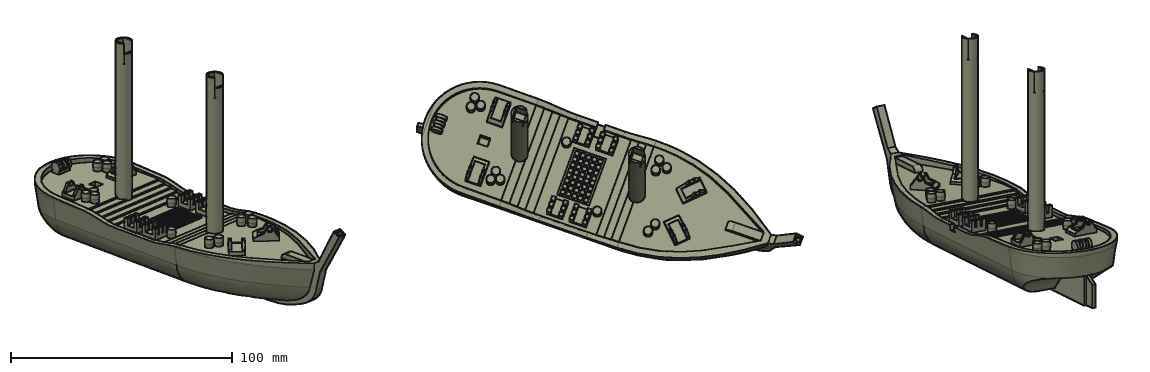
import cadquery as cq
import math


TOP_HALF_BEAM = 26.47
CHINE_HALF_BEAM = 24.9
CHINE_Z = 14.0
BILGE_DEPTH = 12.4
BILGE_START_ANGLE = math.radians(6.0)
BILGE_SECTIONS = 6
STERN_CENTRE_X = 30.0
BOW_START_X = 104.7
BOW_CHINE_X = 165.8
BOW_TOP_X = 168.5
BOW_BILGE_RUN = 26.8
BOW_FULLNESS = 0.775
BOW_CLOSING = 1.3
AFT_TOPSIDE_Z = 24.4
BOW_TOPSIDE_Z = 23.4
STERN_RISE_START_X = 7.0
STERN_RISE_RADIUS = 27.0
HULL_BOTTOM_Z = CHINE_Z - BILGE_DEPTH
BILGE_RADIUS = BILGE_DEPTH / (1 - math.sin(BILGE_START_ANGLE))
BILGE_WIDTH = BILGE_RADIUS * math.cos(BILGE_START_ANGLE)
FLARE = (TOP_HALF_BEAM - CHINE_HALF_BEAM) / (AFT_TOPSIDE_Z - CHINE_Z)
BOW_HALF_BEAM = CHINE_HALF_BEAM + FLARE * (BOW_TOPSIDE_Z - CHINE_Z)

RAIL_WIDTH = 2.95
STERN_RAIL_Z = 26.5
STERN_RAIL_FLAT_X = 4.9
AFT_BREAK_X = 48.3
AFT_BREAK_Z = 24.6
WAIST_AFT_X = 67.2
WAIST_FORE_X = 89.9
WAIST_RAIL_Z = 21.6
FORE_BREAK_Z = 23.6
BOW_RAIL_Z = 26.6
SPARE = 5.0

WAIST_DECK_Z = 20.0
STEP_RISE = 0.8
AFT_STEPS_X = (AFT_BREAK_X, 52.2, 56.1, 59.8, 63.8)
FORE_STEPS_X = (93.8, 97.5, 101.0, BOW_START_X)
AFT_DECK_Z = WAIST_DECK_Z + STEP_RISE * len(AFT_STEPS_X)
FORE_DECK_Z = WAIST_DECK_Z + STEP_RISE * len(FORE_STEPS_X)
INNER_BOW_X = 165.0
INNER_BOW_FULLNESS = 0.765
INNER_BOW_CLOSING = 1.05

KEEL_WIDTH = 4.2
RUDDER_WIDTH = 1.7
RUDDER_LENGTH = 5.1
RUDDER_AFT_Z = 11.1
STEM_FOOT_X = 140.0
SPRIT_TIP_X = 183.77
SPRIT_TIP_Z = 43.9
SPRIT_THICKNESS = 3.8
SPRIT_ANGLE = math.radians(60.0)
SPRIT_SOCKET_SIDE = 2.1
SPRIT_SOCKET_DEPTH = 4.0
SPRIT_FOOT = (172.0, BOW_TOPSIDE_Z)
SPRIT_INNER_FOOT = (171.2, 28.6)
STEM_TURN = (158.5, 3.4)
STEM_CHINE_X = 169.6
STEM_CHINE_LEAN = 0.2
HEEL_X = 148.0
HEEL_NOSE_LENGTH = 3.2
HEEL_HEIGHT = 2.6

MAST_DIAMETER = 7.5
MAST_TOP_Z = 99.75
MAST_X = (48.8, 105.0)
SOCKET_SIDE = 5.2
SOCKET_DEPTH = 10.0
MAST_LIP_DROP = 5.0

HATCH_X = 31.7
HATCH_SIZE = (4.7, 4.1)
HATCH_DEPTH = 4.0

GRATING_X = 78.5
GRATING_SIZE = (15.3, 22.9)
GRATING_HEIGHT = 0.5
GRATING_HOLE = 2.0
GRATING_PITCH = 2.8
GRATING_COLUMNS = 5
GRATING_SIDE_ROWS = 4
GRATING_FIRST_ROW_Y = 1.1

BARREL_DIAMETER = 4.2
BARREL_END_DIAMETER = 3.9
BARREL_HEIGHT = 4.2
AFT_BARRELS = (
    (21.3, 16.8), (25.1, 14.3), (21.2, 12.2),
    (41.8, -12.2), (44.9, -15.0), (40.9, -16.5),
)
WAIST_BARRELS = ((66.9, 12.2), (90.7, -13.3))
FORE_BARRELS = (
    (109.4, 17.7), (113.7, 15.5), (109.4, 12.9),
    (117.6, -10.8), (115.7, -15.0),
)

CARRIAGE_LENGTH = 11.8
CARRIAGE_WIDTH = 7.4
CHEEK_WIDTH = 1.3
CHEEK_HEIGHT = 6.0
CARRIAGE_FLOOR = 1.8
CHEEK_TOP = (
    (-CARRIAGE_LENGTH / 2, 1.2), (-4.0, 2.3), (-1.1, 3.5), (0.2, CHEEK_HEIGHT),
    (3.0, CHEEK_HEIGHT), (5.2, 2.5), (CARRIAGE_LENGTH / 2, 2.0),
)
TAIL_LENGTH = 2.0
TRUNNION_Y = 1.6
TRUNNION_Z = 5.3
TRUNNION_RADIUS = 1.1
AFT_CARRIAGE = (33.7, 14.5)
FORE_CARRIAGE = (127.6, 9.7)
FORE_CARRIAGE_TURN = 45.0

WAIST_CARRIAGES = ((73.2, 7.6), (84.3, 8.1))
WAIST_CARRIAGE_Y = 17.7
WAIST_CARRIAGE_LENGTH = 7.6
WAIST_CHEEK_WIDTH = 1.9
WAIST_CHEEK_HEIGHT = 5.6
WAIST_FLOOR = 2.4
CHEEK_GAP = 0.95
CHEEK_POSTS = 3

PORT_GATE_X = 78.9
PORT_GATE_WIDTH = 3.5
PORT_GATE_INNER_Y = 19.6
PORT_GATE_DEPTH = 1.0

WINCH_X = 10.3
WINCH_Z = AFT_DECK_Z + 3.0
WINCH_DIAMETER = 5.2
WINCH_CORE_DIAMETER = 4.0
WINCH_LENGTH = 7.6
WINCH_DISC = 1.5


def stern_outline(half_beam, z):
    """Round stern and parallel sides, closed at the start of the bow."""
    return (
        cq.Workplane("XY", origin=(0, 0, z))
        .moveTo(BOW_START_X, half_beam)
        .lineTo(STERN_CENTRE_X, half_beam)
        .threePointArc((STERN_CENTRE_X - half_beam, 0), (STERN_CENTRE_X, -half_beam))
        .lineTo(BOW_START_X, -half_beam)
        .close()
    )


def bow_outline(half_beam, end_x, z, fullness=BOW_FULLNESS, closing_slope=BOW_CLOSING):
    """Curved bow closing from the half beam to the width of the stem."""
    middle = ((BOW_START_X + end_x) / 2, fullness * half_beam)
    tip = (end_x, KEEL_WIDTH / 2)
    ahead = (1, 0)
    closing = (tip[0] - middle[0], closing_slope * (tip[1] - middle[1]))
    return (
        cq.Workplane("XY", origin=(0, 0, z))
        .moveTo(BOW_START_X, -half_beam)
        .lineTo(BOW_START_X, half_beam)
        .spline([middle, tip], tangents=[ahead, closing], includeCurrent=True)
        .lineTo(end_x, -KEEL_WIDTH / 2)
        .spline(
            [(middle[0], -middle[1]), (BOW_START_X, -half_beam)],
            tangents=[(-closing[0], closing[1]), (-1, 0)],
            includeCurrent=True,
        )
        .close()
    )


def loft(outlines, ruled):
    """Solid through a stack of outlines, with straight or smooth sides."""
    wires = [outline.wires().val() for outline in outlines]
    return cq.Workplane(cq.Solid.makeLoft(wires, ruled))


def hull_body():
    """Full hull with a round bilge, flared topsides and an upright bulwark."""
    stern_bilge = []
    bow_bilge = []
    for i in range(BILGE_SECTIONS + 1):
        turn = math.pi / 2 + (BILGE_START_ANGLE - math.pi / 2) * i / BILGE_SECTIONS
        inward = 1 - BILGE_RADIUS * math.cos(turn) / BILGE_WIDTH
        half_beam = CHINE_HALF_BEAM - BILGE_WIDTH * inward
        end_x = BOW_CHINE_X - BOW_BILGE_RUN * inward
        z = HULL_BOTTOM_Z + BILGE_RADIUS * (1 - math.sin(turn))
        stern_bilge.append(stern_outline(half_beam, z))
        bow_bilge.append(bow_outline(half_beam, end_x, z))

    stern_sides = [
        stern_outline(CHINE_HALF_BEAM, CHINE_Z),
        stern_outline(TOP_HALF_BEAM, AFT_TOPSIDE_Z),
    ]
    bow_sides = [
        bow_outline(CHINE_HALF_BEAM, BOW_CHINE_X, CHINE_Z),
        bow_outline(BOW_HALF_BEAM, BOW_TOP_X, BOW_TOPSIDE_Z),
    ]
    stern_bulwark = stern_outline(TOP_HALF_BEAM, AFT_TOPSIDE_Z).extrude(SPARE)
    bow_bulwark = bow_outline(BOW_HALF_BEAM, BOW_TOP_X, BOW_TOPSIDE_Z).extrude(SPARE)
    return (
        loft(stern_bilge, False)
        .union(loft(bow_bilge, False))
        .union(loft(stern_sides, True))
        .union(loft(bow_sides, True))
        .union(stern_bulwark)
        .union(bow_bulwark)
    )


def side_plate(profile, width):
    """Extrude an XZ outline by width, centred on the centre plane."""
    return profile.extrude(width / 2, both=True)


def stern_rise_depth(x):
    """Depth of the rising hull bottom below the chine."""
    return STERN_RISE_RADIUS - math.sqrt(STERN_RISE_RADIUS**2 - (x - STERN_RISE_START_X)**2)


def stern_undercut():
    """Space below the arc along which the hull bottom rises to the stern."""
    drop = CHINE_Z - HULL_BOTTOM_Z
    end_x = STERN_RISE_START_X + math.sqrt(STERN_RISE_RADIUS**2 - (STERN_RISE_RADIUS - drop)**2)
    middle_x = (STERN_RISE_START_X + end_x) / 2
    profile = (
        cq.Workplane("XZ")
        .moveTo(-SPARE, CHINE_Z)
        .lineTo(STERN_RISE_START_X, CHINE_Z)
        .threePointArc((middle_x, CHINE_Z - stern_rise_depth(middle_x)), (end_x, HULL_BOTTOM_Z))
        .lineTo(end_x, -SPARE)
        .lineTo(-SPARE, -SPARE)
        .close()
    )
    return side_plate(profile, 2 * (TOP_HALF_BEAM + SPARE))


def above_rail():
    """Space above the sheer line of the rail."""
    aft_slope = (AFT_BREAK_X - STERN_RAIL_FLAT_X, AFT_BREAK_Z - STERN_RAIL_Z)
    bow_slope = (BOW_TOP_X - BOW_START_X, BOW_RAIL_Z - FORE_BREAK_Z)
    level = (1, 0)
    top_z = STERN_RAIL_Z + 2 * SPARE
    profile = (
        cq.Workplane("XZ")
        .moveTo(STERN_RAIL_FLAT_X, STERN_RAIL_Z)
        .lineTo(AFT_BREAK_X, AFT_BREAK_Z)
        .spline([(WAIST_AFT_X, WAIST_RAIL_Z)], tangents=[aft_slope, level], includeCurrent=True)
        .lineTo(WAIST_FORE_X, WAIST_RAIL_Z)
        .spline([(BOW_START_X, FORE_BREAK_Z)], tangents=[level, bow_slope], includeCurrent=True)
        .lineTo(BOW_TOP_X, BOW_RAIL_Z)
        .lineTo(BOW_TOP_X + SPARE, BOW_RAIL_Z)
        .lineTo(BOW_TOP_X + SPARE, top_z)
        .lineTo(-SPARE, top_z)
        .lineTo(-SPARE, STERN_RAIL_Z)
        .close()
    )
    return side_plate(profile, 2 * (TOP_HALF_BEAM + SPARE))


def above_deck():
    """Space inside the rail, above the decks and the steps between them."""
    half_beam = TOP_HALF_BEAM - RAIL_WIDTH
    top_z = STERN_RAIL_Z + SPARE
    height = top_z - WAIST_DECK_Z
    bow = bow_outline(half_beam, INNER_BOW_X, WAIST_DECK_Z, INNER_BOW_FULLNESS, INNER_BOW_CLOSING)
    inside = stern_outline(half_beam, WAIST_DECK_Z).extrude(height).union(bow.extrude(height))
    profile = cq.Workplane("XZ").moveTo(-SPARE, top_z).lineTo(-SPARE, AFT_DECK_Z)
    z = AFT_DECK_Z
    for x in AFT_STEPS_X:
        profile = profile.lineTo(x, z).lineTo(x, z - STEP_RISE)
        z -= STEP_RISE
    for x in FORE_STEPS_X:
        profile = profile.lineTo(x, z).lineTo(x, z + STEP_RISE)
        z += STEP_RISE
    profile = profile.lineTo(BOW_TOP_X, z).lineTo(BOW_TOP_X, top_z).close()
    return side_plate(profile, 2 * TOP_HALF_BEAM).intersect(inside)


def keel_and_bowsprit():
    """Keel, stem and bowsprit as one plate on the centre plane, with a square socket in the tip."""
    run = math.cos(SPRIT_ANGLE)
    rise = math.sin(SPRIT_ANGLE)
    tip_top = (SPRIT_TIP_X - SPRIT_THICKNESS * rise, SPRIT_TIP_Z + SPRIT_THICKNESS * run)
    profile = (
        cq.Workplane("XZ")
        .moveTo(RUDDER_LENGTH, 0)
        .lineTo(STEM_FOOT_X, 0)
        .spline(
            [STEM_TURN, (STEM_CHINE_X, CHINE_Z)],
            tangents=[(1, 0), (STEM_CHINE_LEAN, 1)],
            includeCurrent=True,
        )
        .lineTo(*SPRIT_FOOT)
        .lineTo(SPRIT_TIP_X, SPRIT_TIP_Z)
        .lineTo(*tip_top)
        .lineTo(*SPRIT_INNER_FOOT)
        .lineTo(BOW_TOP_X, BOW_RAIL_Z)
        .lineTo(BOW_TOP_X, BOW_TOPSIDE_Z)
        .lineTo(BOW_CHINE_X - KEEL_WIDTH, CHINE_Z)
        .lineTo(RUDDER_LENGTH, CHINE_Z)
        .close()
    )
    tip_centre = ((SPRIT_TIP_X + tip_top[0]) / 2, 0, (SPRIT_TIP_Z + tip_top[1]) / 2)
    tip_plane = cq.Plane(origin=tip_centre, xDir=(0, 1, 0), normal=(run, 0, rise))
    socket = cq.Workplane(tip_plane).rect(SPRIT_SOCKET_SIDE, SPRIT_SOCKET_SIDE).extrude(-SPRIT_SOCKET_DEPTH)
    return side_plate(profile, KEEL_WIDTH).cut(socket)


def bowsprit_heel():
    """Inboard end of the bowsprit, lying on the fore deck with a rounded nose."""
    top_z = FORE_DECK_Z + HEEL_HEIGHT
    bulge = math.sin(math.pi / 4)
    nose_middle = (HEEL_X + HEEL_NOSE_LENGTH * (1 - bulge), FORE_DECK_Z + HEEL_HEIGHT * bulge)
    profile = (
        cq.Workplane("XZ")
        .moveTo(HEEL_X, FORE_DECK_Z - STEP_RISE)
        .lineTo(HEEL_X, FORE_DECK_Z)
        .threePointArc(nose_middle, (HEEL_X + HEEL_NOSE_LENGTH, top_z))
        .lineTo(BOW_TOP_X, top_z)
        .lineTo(BOW_TOP_X, FORE_DECK_Z - STEP_RISE)
        .close()
    )
    return side_plate(profile, KEEL_WIDTH)


def rudder():
    """Thin blade behind the keel with a sloping top."""
    profile = (
        cq.Workplane("XZ")
        .polyline([(0, 0), (RUDDER_LENGTH, 0), (RUDDER_LENGTH, CHINE_Z), (0, RUDDER_AFT_Z)])
        .close()
    )
    return side_plate(profile, RUDDER_WIDTH)


def mast(x):
    """Round mast with a square socket in its top and a lowered forward lip."""
    length = MAST_TOP_Z - WAIST_DECK_Z
    socket = cq.Workplane("XY", origin=(x, 0, MAST_TOP_Z)).rect(SOCKET_SIDE, SOCKET_SIDE)
    lip_centre = x + SOCKET_SIDE / 2 + MAST_DIAMETER / 2
    lip = cq.Workplane("XY", origin=(lip_centre, 0, MAST_TOP_Z)).rect(MAST_DIAMETER, MAST_DIAMETER)
    return (
        cq.Workplane("XY", origin=(x, 0, WAIST_DECK_Z))
        .circle(MAST_DIAMETER / 2)
        .extrude(length)
        .cut(socket.extrude(-SOCKET_DEPTH))
        .cut(lip.extrude(-MAST_LIP_DROP))
    )


def grating():
    """Raised plate pierced by two mirrored groups of square holes."""
    centres = []
    for column in range(GRATING_COLUMNS):
        x = (column - (GRATING_COLUMNS - 1) / 2) * GRATING_PITCH
        for row in range(GRATING_SIDE_ROWS):
            y = GRATING_FIRST_ROW_Y + row * GRATING_PITCH
            centres += [(x, y), (x, -y)]
    plane = cq.Workplane("XY", origin=(GRATING_X, 0, WAIST_DECK_Z))
    holes = plane.pushPoints(centres).rect(GRATING_HOLE, GRATING_HOLE).extrude(GRATING_HEIGHT)
    return plane.rect(*GRATING_SIZE).extrude(GRATING_HEIGHT).cut(holes)


def barrels(centres, deck_z):
    """Barrels standing on end, widest at mid height."""
    profile = [
        (0, 0), (BARREL_END_DIAMETER / 2, 0), (BARREL_DIAMETER / 2, BARREL_HEIGHT / 2),
        (BARREL_END_DIAMETER / 2, BARREL_HEIGHT), (0, BARREL_HEIGHT),
    ]
    barrel = cq.Workplane("XZ").polyline(profile).close().revolve(360, (0, 0), (0, 1))
    return [barrel.translate((x, y, deck_z)) for x, y in centres]


def gun_carriage():
    """Carriage at the origin, muzzle end towards +Y: two cheeks, a floor and a low tail."""
    end = CARRIAGE_LENGTH / 2
    body = (
        cq.Workplane("YZ")
        .polyline([(-end, 0), *CHEEK_TOP, (end, 0)])
        .close()
        .extrude(CARRIAGE_WIDTH / 2, both=True)
    )
    channel = (
        cq.Workplane("XY", origin=(0, TAIL_LENGTH, CARRIAGE_FLOOR))
        .rect(CARRIAGE_WIDTH - 2 * CHEEK_WIDTH, CARRIAGE_LENGTH)
        .extrude(CHEEK_HEIGHT)
    )
    trunnion = (
        cq.Workplane("YZ")
        .center(TRUNNION_Y, TRUNNION_Z)
        .circle(TRUNNION_RADIUS)
        .extrude(CARRIAGE_WIDTH, both=True)
    )
    return body.cut(channel).cut(trunnion)


def waist_carriage(width):
    """Carriage at the origin whose cheeks stand as rows of posts."""
    post = (WAIST_CARRIAGE_LENGTH - CHEEK_GAP * (CHEEK_POSTS - 1)) / CHEEK_POSTS
    pitch = post + CHEEK_GAP
    centres = []
    for side in (-1, 1):
        for i in range(CHEEK_POSTS):
            x = side * (width - WAIST_CHEEK_WIDTH) / 2
            centres.append((x, (i - (CHEEK_POSTS - 1) / 2) * pitch))
    base = cq.Workplane("XY").rect(width, WAIST_CARRIAGE_LENGTH).extrude(WAIST_FLOOR)
    posts = (
        cq.Workplane("XY")
        .pushPoints(centres)
        .rect(WAIST_CHEEK_WIDTH, post)
        .extrude(WAIST_CHEEK_HEIGHT)
    )
    return base.union(posts)


def winch():
    """Drum across the stern with three discs."""
    half = WINCH_LENGTH / 2
    plane = cq.Workplane("XZ", origin=(WINCH_X, 0, WINCH_Z))
    drum = plane.circle(WINCH_CORE_DIAMETER / 2).extrude(half, both=True)
    for y in (-half + WINCH_DISC / 2, 0, half - WINCH_DISC / 2):
        disc = cq.Workplane("XZ", origin=(WINCH_X, y, WINCH_Z)).circle(WINCH_DIAMETER / 2)
        drum = drum.union(disc.extrude(WINCH_DISC / 2, both=True))
    foot = (
        cq.Workplane("XY", origin=(WINCH_X, 0, AFT_DECK_Z))
        .rect(WINCH_CORE_DIAMETER, WINCH_LENGTH)
        .extrude(WINCH_Z - AFT_DECK_Z)
    )
    return drum.union(foot)


def hatch():
    """Square hole in the aft deck."""
    return cq.Workplane("XY", origin=(HATCH_X, 0, AFT_DECK_Z)).rect(*HATCH_SIZE).extrude(-HATCH_DEPTH)


def port_gate():
    """Slot through the port rail, let into the waist deck."""
    length = TOP_HALF_BEAM + SPARE - PORT_GATE_INNER_Y
    centre_y = PORT_GATE_INNER_Y + length / 2
    return (
        cq.Workplane("XY", origin=(PORT_GATE_X, centre_y, WAIST_DECK_Z - PORT_GATE_DEPTH))
        .rect(PORT_GATE_WIDTH, length)
        .extrude(SPARE)
    )


def gun_carriages():
    """Mirrored pairs of carriages on the three decks, muzzles outboard."""
    carriages = []
    for side, side_turn in ((1, 0), (-1, 180)):
        aft = gun_carriage().rotate((0, 0, 0), (0, 0, 1), side_turn)
        carriages.append(aft.translate((AFT_CARRIAGE[0], side * AFT_CARRIAGE[1], AFT_DECK_Z)))
        turn = side_turn - side * FORE_CARRIAGE_TURN
        fore = gun_carriage().rotate((0, 0, 0), (0, 0, 1), turn)
        carriages.append(fore.translate((FORE_CARRIAGE[0], side * FORE_CARRIAGE[1], FORE_DECK_Z)))
        for x, width in WAIST_CARRIAGES:
            place = (x, side * WAIST_CARRIAGE_Y, WAIST_DECK_Z)
            carriages.append(waist_carriage(width).translate(place))
    return carriages


def build():
    """Carve the hull, then join the fittings to it."""
    hull = hull_body().cut(stern_undercut()).cut(above_rail()).cut(above_deck())
    hull = hull.union(keel_and_bowsprit()).cut(hatch()).cut(port_gate())
    fittings = [bowsprit_heel(), rudder(), grating(), winch()]
    fittings += [mast(x) for x in MAST_X]
    fittings += barrels(AFT_BARRELS, AFT_DECK_Z)
    fittings += barrels(WAIST_BARRELS, WAIST_DECK_Z)
    fittings += barrels(FORE_BARRELS, FORE_DECK_Z)
    fittings += gun_carriages()
    ship = hull.val().fuse(*[fitting.val() for fitting in fittings]).clean()
    return cq.Workplane(ship.Solids()[0])


result = build()